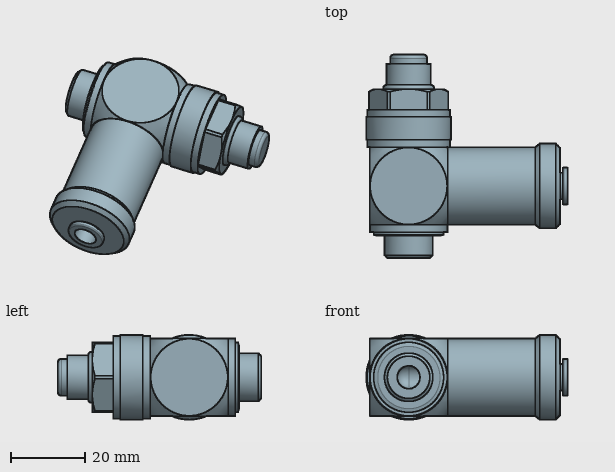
import cadquery as cq
import math

OVERALL_LENGTH = 55

BODY_HALF = 10.5
FACE_CIRCLE_RADIUS = 10.4
BODY_SPHERE_RADIUS = math.hypot(BODY_HALF, FACE_CIRCLE_RADIUS)

BORE_RADIUS = 3.1

SPIGOT_COLLAR_END = 12.5
SEAL_RADIUS = 9.45
SEAL_FACE_RADIUS = 8.4
SEAL_END = 13.5
SEAL_BEVEL_HEIGHT = 0.3
SPIGOT_RADIUS = 6.55
SPIGOT_END = 19.45
SPIGOT_CHAMFER = 0.8

RING_RADIUS = 11.5
RING_SHOULDER_RADIUS = 11.2
RING_START = 12.55
RING_END = 18.65
HEX_START = 20.55
HEX_END = 26.2
HEX_SIDES = 6
HEX_FLATS = 19.0
HEX_TRIM_RADIUS = 10.7
HEX_CHAMFER_ANGLE = 30
LIP_RADIUS = 6.95
LIP_END = 27.35
STEM_RADIUS = 6.0
STEM_SHOULDER = 33.0
KNOB_RADIUS = 5.0
STEM_END = OVERALL_LENGTH - SPIGOT_END
EDGE_ROUND = 1.0

RIM_RADIUS = RING_RADIUS
RIM_START = 34.2
RIM_END = 40.9
RIM_CHAMFER = 1.2
RIM_START_LENGTH = 1.25
RELEASE_NECK_RADIUS = 3.65
RELEASE_RADIUS = 5.0
RELEASE_START = 41.6
RELEASE_END = 43.0
RELEASE_ROUND = 0.35


def cylinder_y(radius, start, end):
    """Cylinder on the Y axis from y = start to y = end."""
    return cq.Workplane("XZ", origin=(0, start, 0)).circle(radius).extrude(start - end)


def cylinder_x(radius, start, end):
    """Cylinder on the X axis from x = start to x = end."""
    return cq.Workplane("YZ", origin=(start, 0, 0)).circle(radius).extrude(end - start)


def make_body():
    cube = cq.Workplane("XY").box(2 * BODY_HALF, 2 * BODY_HALF, 2 * BODY_HALF)
    return cube.intersect(cq.Workplane("XY").sphere(BODY_SPHERE_RADIUS))


def make_spigot():
    profile = (
        cq.Workplane("XY")
        .moveTo(0, -BODY_HALF)
        .lineTo(BODY_HALF, -BODY_HALF)
        .lineTo(BODY_HALF, -SPIGOT_COLLAR_END)
        .lineTo(SEAL_RADIUS, -SPIGOT_COLLAR_END)
        .lineTo(SEAL_RADIUS, -SEAL_END + SEAL_BEVEL_HEIGHT)
        .lineTo(SEAL_FACE_RADIUS, -SEAL_END)
        .lineTo(SPIGOT_RADIUS, -SEAL_END)
        .lineTo(SPIGOT_RADIUS, -SPIGOT_END + SPIGOT_CHAMFER)
        .lineTo(SPIGOT_RADIUS - SPIGOT_CHAMFER, -SPIGOT_END)
        .lineTo(0, -SPIGOT_END)
        .close()
    )
    return profile.revolve(360, (0, 0, 0), (0, 1, 0))


def make_hexagon():
    corner_diameter = HEX_FLATS / math.cos(math.pi / HEX_SIDES)
    hexagon = (
        cq.Workplane("XZ", origin=(0, HEX_START, 0))
        .polygon(HEX_SIDES, corner_diameter)
        .extrude(HEX_START - HEX_END)
    )
    bevel_width = HEX_TRIM_RADIUS - HEX_FLATS / 2
    bevel_height = bevel_width * math.tan(math.radians(HEX_CHAMFER_ANGLE))
    envelope = (
        cylinder_y(HEX_TRIM_RADIUS, HEX_START, HEX_END)
        .faces(">Y")
        .chamfer(bevel_height, bevel_width)
    )
    return hexagon.intersect(envelope)


def make_stem():
    shoulder = cylinder_y(RING_SHOULDER_RADIUS, BODY_HALF, HEX_START)
    ring = cylinder_y(RING_RADIUS, RING_START, RING_END)
    lip = cylinder_y(LIP_RADIUS, HEX_START, LIP_END).faces(">Y").edges().fillet(EDGE_ROUND)
    stem = cylinder_y(STEM_RADIUS, HEX_START, STEM_SHOULDER)
    knob = cylinder_y(KNOB_RADIUS, HEX_START, STEM_END).faces(">Y").edges().fillet(EDGE_ROUND)
    return shoulder.union(ring).union(make_hexagon()).union(lip).union(stem).union(knob)


def make_socket():
    tube_and_rim = (
        cq.Workplane("XY")
        .moveTo(BODY_HALF, 0)
        .lineTo(BODY_HALF, BODY_HALF)
        .lineTo(RIM_START, BODY_HALF)
        .lineTo(RIM_START + RIM_START_LENGTH, RIM_RADIUS)
        .lineTo(RIM_END - RIM_CHAMFER, RIM_RADIUS)
        .lineTo(RIM_END, RIM_RADIUS - RIM_CHAMFER)
        .lineTo(RIM_END, 0)
        .close()
        .revolve(360, (0, 0, 0), (1, 0, 0))
    )
    neck = cylinder_x(RELEASE_NECK_RADIUS, RIM_END, RELEASE_START)
    release = cylinder_x(RELEASE_RADIUS, RELEASE_START, RELEASE_END).edges().fillet(RELEASE_ROUND)
    return tube_and_rim.union(neck).union(release)


def make_passage():
    inlet = cylinder_y(BORE_RADIUS, -SPIGOT_END, 0)
    outlet = cylinder_x(BORE_RADIUS, 0, RELEASE_END)
    elbow = cq.Workplane("XY").sphere(BORE_RADIUS)
    return inlet.union(outlet).union(elbow)


result = make_body().union(make_spigot()).union(make_stem()).union(make_socket()).cut(make_passage())